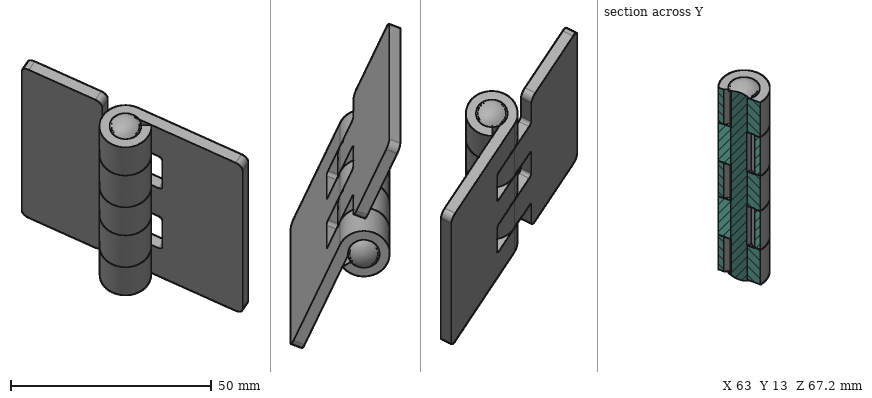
import cadquery as cq
import math

hinge_width = 63.0
overall_height = 67.2
leaf_height = 64.05
leaf_thickness = 3.0
barrel_diameter = 13.0
barrel_radius = barrel_diameter / 2
leaf_inner_face = barrel_radius - leaf_thickness

left_knuckle_height = 13.7
right_knuckle_height = (leaf_height - 2 * left_knuckle_height) / 3
knuckle_pitch = left_knuckle_height + right_knuckle_height
left_knuckle_centers = [-knuckle_pitch / 2, knuckle_pitch / 2]
right_knuckle_centers = [-knuckle_pitch, 0, knuckle_pitch]
curl_end_angle = math.radians(32)

inner_edge = 8.55
corner_radius = 2.0
notch_radius = 1.0
pick_tolerance = 0.1
end_margin = 2 * corner_radius

bore_radius = leaf_inner_face
head_radius = 3.95
head_height = (overall_height - leaf_height) / 2


def flat_plate(x_start, x_end, z_center, height):
    """Upright plate in the plane of the leaves."""
    return (
        cq.Workplane("XY")
        .box(x_end - x_start, leaf_thickness, height)
        .translate(((x_start + x_end) / 2, leaf_inner_face + leaf_thickness / 2, z_center))
    )


def knuckle(z_center, height):
    """Strip running in from the +X side and curling round the pin, ending in a radial cut."""
    end_x = math.cos(curl_end_angle)
    end_y = math.sin(curl_end_angle)
    return (
        cq.Workplane("XY", origin=(0, 0, z_center - height / 2))
        .moveTo(inner_edge, barrel_radius)
        .lineTo(0, barrel_radius)
        .threePointArc((0, -barrel_radius), (barrel_radius * end_x, barrel_radius * end_y))
        .lineTo(bore_radius * end_x, bore_radius * end_y)
        .threePointArc((0, -bore_radius), (0, bore_radius))
        .lineTo(inner_edge, leaf_inner_face)
        .close()
        .extrude(height)
    )


def make_right_leaf():
    """Leaf with three knuckles and two notches that clear the other leaf."""
    leaf = flat_plate(inner_edge, hinge_width / 2, 0, leaf_height)
    leaf = leaf.edges("|Y and >X").fillet(corner_radius)
    for z_center in right_knuckle_centers:
        leaf = leaf.union(knuckle(z_center, right_knuckle_height))
    notch_corners = cq.selectors.BoxSelector(
        (inner_edge - pick_tolerance, 0, -leaf_height / 2 + end_margin),
        (inner_edge + pick_tolerance, barrel_radius, leaf_height / 2 - end_margin),
    )
    return leaf.clean().edges("|Y").edges(notch_corners).fillet(notch_radius)


def make_left_leaf():
    """Leaf with two knuckles, filleted where each knuckle meets the notched edge."""
    leaf = flat_plate(-hinge_width / 2, -inner_edge, 0, leaf_height)
    leaf = leaf.edges("|Y").fillet(corner_radius)
    for z_center in left_knuckle_centers:
        leaf = leaf.union(knuckle(z_center, left_knuckle_height).mirror("YZ"))
    notch_corners = cq.selectors.BoxSelector(
        (-inner_edge - pick_tolerance, 0, -leaf_height / 2 + end_margin),
        (-inner_edge + pick_tolerance, barrel_radius, leaf_height / 2 - end_margin),
    )
    return leaf.clean().edges("|Y").edges(notch_corners).fillet(notch_radius)


def make_pin():
    """Pin filling the bore, with a domed head resting on each end of the barrel."""
    dome_radius = (head_radius**2 + head_height**2) / (2 * head_height)
    half_angle = math.asin(head_radius / dome_radius) / 2
    mid_x = dome_radius * math.sin(half_angle)
    mid_z = overall_height / 2 - dome_radius * (1 - math.cos(half_angle))
    return (
        cq.Workplane("XZ")
        .moveTo(0, -overall_height / 2)
        .threePointArc((mid_x, -mid_z), (head_radius, -leaf_height / 2))
        .lineTo(bore_radius, -leaf_height / 2)
        .lineTo(bore_radius, leaf_height / 2)
        .lineTo(head_radius, leaf_height / 2)
        .threePointArc((mid_x, mid_z), (0, overall_height / 2))
        .close()
        .revolve(360, (0, 0, 0), (0, 1, 0))
    )


left_leaf = make_left_leaf()
right_leaf = make_right_leaf()
pin = make_pin()

result = cq.Compound.makeCompound([left_leaf.solids().val(), right_leaf.solids().val(), pin.val()])